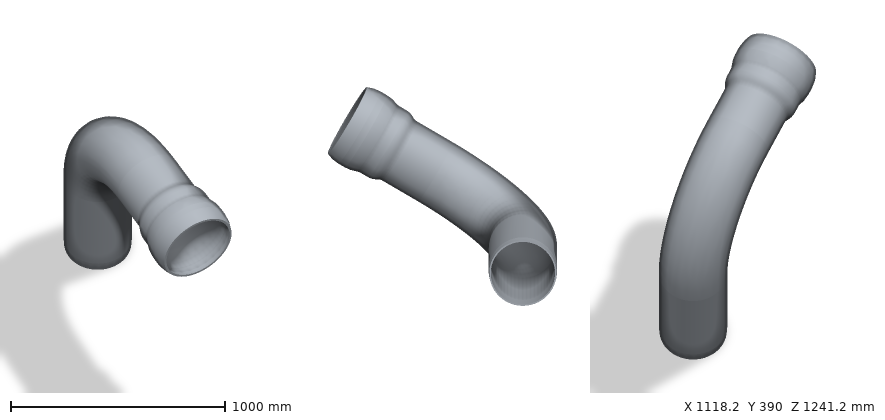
import cadquery as cq
import math

pipe_radius = 160.0
wall = 10.0
bend_angle = 87.0
bend_radius = 500.0
inlet_length = 525.5

tip_length = 50.0
tip_radius = 157.0

outlet_pipe_length = 191.37
collar_radius = 180.0
collar_length = 40.0
belly_radius = 195.0
belly_length = 35.0
mouth_radius = 180.0
flare_radius = 50.0
collar_round = 75.0
belly_round = 150.0


def add_shoulder(profile, x, inner_offset, start_radius, end_radius, concave, convex):
    """Append a concave arc and a tangent convex arc.

    The radii describe the outer surface; inner_offset moves the step inward.
    Returns the profile and its new axial position.
    """
    angle = math.acos(1 - (end_radius - start_radius) / (concave + convex))
    end_x = x + (concave + convex) * math.sin(angle)
    foot = concave + inner_offset
    crown = convex - inner_offset
    foot_centre = start_radius + concave
    crown_centre = end_radius - convex

    def foot_point(a):
        return (x + foot * math.sin(a), foot_centre - foot * math.cos(a))

    def crown_point(a):
        return (end_x - crown * math.sin(a), crown_centre + crown * math.cos(a))

    profile = profile.threePointArc(foot_point(angle / 2), foot_point(angle))
    profile = profile.threePointArc(crown_point(angle / 2), (end_x, crown_centre + crown))
    return profile, end_x


def outlet_body(inner_offset):
    """Revolve the outlet about +X, with every surface moved inward by inner_offset."""
    x = outlet_pipe_length
    profile = cq.Workplane("XZ").lineTo(0, pipe_radius - inner_offset)
    profile = profile.lineTo(x, pipe_radius - inner_offset)
    profile, x = add_shoulder(
        profile, x, inner_offset, pipe_radius, collar_radius, flare_radius, collar_round
    )
    x += collar_length
    profile = profile.lineTo(x, collar_radius - inner_offset)
    profile, x = add_shoulder(
        profile, x, inner_offset, collar_radius, belly_radius, flare_radius, belly_round
    )
    x += belly_length
    profile = profile.lineTo(x, belly_radius - inner_offset)

    belly_centre = belly_radius - belly_round
    mouth_length = math.sqrt(belly_round**2 - (mouth_radius - belly_centre) ** 2)
    arc_radius = belly_round - inner_offset
    end_angle = math.asin(mouth_length / arc_radius)

    def mouth_point(a):
        return (x + arc_radius * math.sin(a), belly_centre + arc_radius * math.cos(a))

    profile = profile.threePointArc(mouth_point(end_angle / 2), mouth_point(end_angle))
    profile = profile.lineTo(x + mouth_length, 0).close()
    return profile.revolve(360, (0, 0, 0), (1, 0, 0))


def placed_outlet(inner_offset):
    """Move the outlet to the end of the bend and tip it to the bend's final direction."""
    angle = math.radians(bend_angle)
    bend_end = (
        bend_radius * (1 - math.cos(angle)),
        0,
        inlet_length + bend_radius * math.sin(angle),
    )
    rise_angle = 90 - bend_angle
    return outlet_body(inner_offset).rotate((0, 0, 0), (0, 1, 0), -rise_angle).translate(bend_end)


def bend(radius):
    """Solid bend that starts at the top of the inlet and turns from +Z towards +X."""
    section = cq.Workplane("XY", origin=(0, 0, inlet_length)).circle(radius)
    return section.revolve(bend_angle, (bend_radius, -1, 0), (bend_radius, 1, 0))


def inlet():
    """Vertical inlet pipe with its lower end tapered."""
    profile = (
        cq.Workplane("XZ")
        .lineTo(tip_radius, 0)
        .lineTo(pipe_radius, tip_length)
        .lineTo(pipe_radius, inlet_length)
        .lineTo(0, inlet_length)
        .close()
    )
    return profile.revolve(360, (0, 0, 0), (0, 1, 0))


bore_radius = pipe_radius - wall
inlet_bore = cq.Workplane("XY").circle(bore_radius).extrude(inlet_length)

outside = inlet().union(bend(pipe_radius)).union(placed_outlet(0))
result = outside.cut(inlet_bore).cut(bend(bore_radius)).cut(placed_outlet(wall))